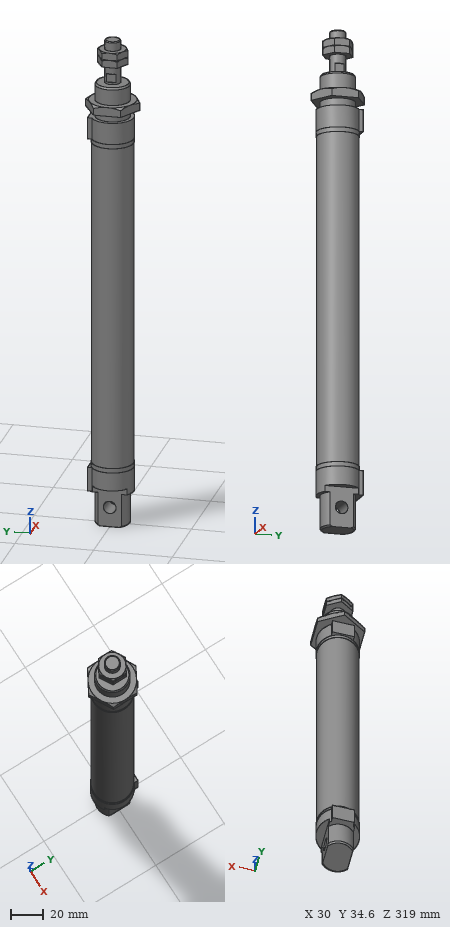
import cadquery as cq
import math

barrel_diameter = 26.5
crimp_diameter = 26.8
crimp_height = 3.0
rear_cap_bottom = 22.0
rear_cap_top = 37.5
front_cap_bottom = 254.5
front_cap_top = 268.5
cap_diameter = 27.0

port_width = 14.0
port_reach = 14.5

tang_diameter = 22.0
tang_thickness = 16.0
tang_shoulder = 25.8
tang_edge_chamfer = 1.0
pivot_diameter = 8.0
pivot_height = 12.8

nose_diameter = 22.0
nose_top = 291.0
nose_tip_diameter = 20.5
nose_chamfer_height = 1.3

rod_diameter = 10.0
rod_top = 319.0
rod_end_chamfer = 0.5
rod_bottom = front_cap_top
rod_flat_width = 8.0
rod_flat_bottom = 292.2
rod_flat_top = 297.5

nose_nut_width = 30.0
nose_nut_height = 5.7
nose_nut_bottom = 273.7
rod_nut_width = 17.0
rod_nut_height = 4.8
rod_nut_bottom = 303.5
rod_nut_count = 2
nut_chamfer_angle = 30
hexagon_sides = 6
hexagon_half_angle = 180 / hexagon_sides


def cylinder(diameter, bottom, top):
    """Upright cylinder on the main axis between two heights."""
    return cq.Workplane("XY").workplane(offset=bottom).circle(diameter / 2).extrude(top - bottom)


def end_cap(bottom, top):
    """Round cap with a flat-faced port block on its +Y side."""
    port = cq.Workplane("XY").box(port_width, port_reach, top - bottom, centered=(True, False, False))
    return cylinder(cap_diameter, bottom, top).union(port.translate((0, 0, bottom)))


def flats_cutter(width, bottom, top, outer_diameter):
    """Cutter that leaves two parallel flats, the given width apart along X."""
    slab = cq.Workplane("XY").box(width, outer_diameter, top - bottom, centered=(True, True, False))
    return cylinder(outer_diameter, bottom, top).cut(slab.translate((0, 0, bottom)))


def build_housing():
    """Barrel, both end caps, rear tang and front nose as one solid."""
    barrel = cylinder(barrel_diameter, rear_cap_top, front_cap_bottom)
    rear_crimp = cylinder(crimp_diameter, rear_cap_top, rear_cap_top + crimp_height)
    front_crimp = cylinder(crimp_diameter, front_cap_bottom - crimp_height, front_cap_bottom)
    tang = cylinder(tang_diameter, 0, rear_cap_top).faces("<Z").chamfer(tang_edge_chamfer)
    nose_chamfer_depth = (nose_diameter - nose_tip_diameter) / 2
    nose = (
        cylinder(nose_diameter, front_cap_top, nose_top)
        .faces(">Z")
        .chamfer(nose_chamfer_height, nose_chamfer_depth)
    )
    body = (
        barrel.union(rear_crimp)
        .union(front_crimp)
        .union(end_cap(rear_cap_bottom, rear_cap_top))
        .union(end_cap(front_cap_bottom, front_cap_top))
        .union(tang)
        .union(nose)
    )
    body = body.cut(flats_cutter(tang_thickness, 0, tang_shoulder, 2 * cap_diameter))
    pivot = (
        cq.Workplane("YZ")
        .center(0, pivot_height)
        .circle(pivot_diameter / 2)
        .extrude(tang_thickness, both=True)
    )
    rod_bore = cylinder(rod_diameter, rod_bottom, nose_top)
    return body.cut(pivot).cut(rod_bore)


def build_rod():
    """Chamfered piston rod with two wrench flats facing X."""
    rod = cylinder(rod_diameter, rod_bottom, rod_top).faces(">Z").chamfer(rod_end_chamfer)
    return rod.cut(flats_cutter(rod_flat_width, rod_flat_bottom, rod_flat_top, 2 * rod_diameter))


def build_nut(width, height, bore_diameter, bottom):
    """Hexagon nut with flats facing X, corners chamfered at the top."""
    corner_diameter = width / math.cos(math.radians(hexagon_half_angle))
    corner_depth = (corner_diameter - width) / 2
    chamfer_height = corner_depth * math.tan(math.radians(nut_chamfer_angle))
    hexagon = (
        cq.Workplane("XY")
        .polygon(hexagon_sides, corner_diameter)
        .extrude(height)
        .rotate((0, 0, 0), (0, 0, 1), hexagon_half_angle)
    )
    chamfered_blank = cylinder(corner_diameter, 0, height).faces(">Z").chamfer(chamfer_height, corner_depth)
    nut = hexagon.intersect(chamfered_blank).cut(cylinder(bore_diameter, 0, height))
    return nut.translate((0, 0, bottom))


housing = build_housing()
rod = build_rod()
nose_nut = build_nut(nose_nut_width, nose_nut_height, nose_diameter, nose_nut_bottom)
rod_nuts = [
    build_nut(rod_nut_width, rod_nut_height, rod_diameter, rod_nut_bottom + index * rod_nut_height)
    for index in range(rod_nut_count)
]

result = cq.Compound.makeCompound(
    [housing.val(), rod.val(), nose_nut.val(), *[nut.val() for nut in rod_nuts]]
)